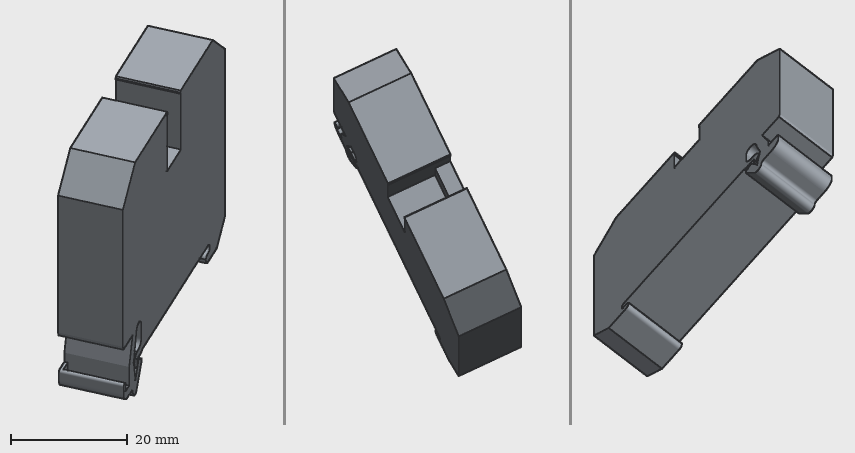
import cadquery as cq

thickness = 11.9
length = 50.0
height = 49.35
half_length = length / 2
half_thickness = thickness / 2

top_chamfer = 6.0
heel_chamfer = 4.0
heel_z = 3.75
rail_z = 7.25
shoulder_z = 13.45
shoulder_bevel_width = 0.25
shoulder_bevel_height = 0.8

notch_half_width = 3.4
notch_depth = 6.6
lip_half_gap = 3.15
rim_half_gap = 3.3
lip_top_drop = 0.35
lip_bottom_drop = 0.6
lip_root_drop = 0.8

ledge_width = 2.9
well_depth = 6.0

foot_outer_y = -24.65
foot_step_y = -21.9
foot_step_z = 5.9
foot_bottom_z = 1.9
lip_radius = 0.5
foot_web = 0.65
foot_groove_depth = 2.0
foot_corner_radius = 2.0
tip_y = -19.05
tip_radius = 1.0
tip_neck_radius = 0.7
leg_root_y = -20.25
leg_bend_z = 7.85
leg_inner_bend = (-19.7, 7.25)
leg_inner_top = (-18.35, 13.15)
arm_tip_start = (-18.2, 0.5)
arm_end_y = -15.85
arm_end_bottom_z = 4.85
arm_end_top_z = 5.55
arm_inner_corner = (-17.3, 6.3)
arm_valley = (-18.85, 2.95)

hook_inner_y = -18.05
hook_bottom_z = 5.2
hook_root_z = 6.85
hook_top_z = 8.5
hook_nose = (-19.3, 7.05)
hook_tip_y = -18.45
hook_root_y = -15.95
rail_end_y = -15.35
slot_y = -16.0
slot_radius = 1.2
slot_arc_z = 12.85
slot_corner_radius = 1.5

undercut_y = 17.5
undercut_upper_z = 6.6
undercut_lower_z = 6.2
undercut_mouth_y = 16.5
undercut_floor = (17.15, 5.75)
nose_top = (16.25, 5.6)
nose_front_top = (15.6, 5.0)
nose_front_bottom = (15.7, 4.4)
nose_bottom_y = 16.5

undercut_upper_mid = (17.2, 7.05)
undercut_lower_mid = (17.4, 5.9)
nose_upper_mid = (15.8, 5.4)
nose_lower_mid = (15.95, 3.95)
foot_corner_mid = foot_corner_radius * (1 - 0.5 ** 0.5)
slot_corner_mid = slot_corner_radius * (1 - 0.5 ** 0.5)
lip_y = foot_outer_y + lip_radius
lip_mid = lip_radius * 0.5 ** 0.5
neck_mid = tip_neck_radius * (1 - 0.5 ** 0.5)
tip_side_y = tip_y - tip_radius


def draw_top(outline):
    """Chamfered top edge and lipped notch, from the +Y side to the -Y side."""
    notch_side = [
        (rim_half_gap, height),
        (lip_half_gap, height - lip_top_drop),
        (lip_half_gap, height - lip_bottom_drop),
        (notch_half_width, height - lip_root_drop),
        (notch_half_width, height - notch_depth),
    ]
    half_top = [
        (half_length, height - top_chamfer),
        (half_length - top_chamfer, height),
    ] + notch_side
    for y, z in half_top:
        outline = outline.lineTo(y, z)
    for y, z in reversed(half_top):
        outline = outline.lineTo(-y, z)
    return outline


def draw_snap_foot(outline):
    """Shoulder, springy leg, rounded tip and catch arm of the foot."""
    return (
        outline
        .lineTo(-half_length, shoulder_z + shoulder_bevel_height)
        .lineTo(-half_length + shoulder_bevel_width, shoulder_z)
        .lineTo(leg_root_y, shoulder_z)
        .lineTo(foot_step_y, leg_bend_z)
        .lineTo(foot_step_y, foot_step_z)
        .lineTo(lip_y, foot_step_z)
        .threePointArc(
            (lip_y - lip_mid, foot_step_z - lip_radius + lip_mid),
            (foot_outer_y, foot_step_z - lip_radius),
        )
        .lineTo(foot_outer_y, foot_bottom_z + foot_corner_radius)
        .threePointArc(
            (foot_outer_y + foot_corner_mid, foot_bottom_z + foot_corner_mid),
            (foot_outer_y + foot_corner_radius, foot_bottom_z),
        )
        .lineTo(tip_side_y - tip_neck_radius, foot_bottom_z)
        .threePointArc(
            (tip_side_y - neck_mid, foot_bottom_z - neck_mid),
            (tip_side_y, foot_bottom_z - tip_neck_radius),
        )
        .lineTo(tip_side_y, tip_radius)
        .threePointArc((tip_y, 0), arm_tip_start)
        .lineTo(arm_end_y, arm_end_bottom_z)
        .lineTo(arm_end_y, arm_end_top_z)
        .lineTo(*arm_inner_corner)
        .lineTo(*arm_valley)
        .lineTo(*leg_inner_bend)
    )


def draw_slot_and_hook(outline):
    """Relief slot behind the leg, then the hook down to the rail face."""
    return (
        outline
        .lineTo(*leg_inner_top)
        .threePointArc((slot_y - slot_radius, slot_arc_z + slot_radius), (slot_y, slot_arc_z))
        .lineTo(slot_y, hook_top_z + slot_corner_radius)
        .threePointArc(
            (slot_y - slot_corner_mid, hook_top_z + slot_corner_mid),
            (slot_y - slot_corner_radius, hook_top_z),
        )
        .lineTo(hook_inner_y, hook_top_z)
        .threePointArc(hook_nose, (hook_tip_y, hook_bottom_z))
        .lineTo(hook_inner_y, hook_bottom_z)
        .lineTo(hook_inner_y, hook_root_z)
        .lineTo(hook_root_y, hook_root_z)
        .lineTo(rail_end_y, rail_z)
    )


def draw_fixed_foot(outline):
    """Rounded undercut and nose that grip the other rail edge."""
    return (
        outline
        .lineTo(undercut_mouth_y, rail_z)
        .threePointArc(undercut_upper_mid, (undercut_y, undercut_upper_z))
        .lineTo(undercut_y, undercut_lower_z)
        .threePointArc(undercut_lower_mid, undercut_floor)
        .lineTo(*nose_top)
        .threePointArc(nose_upper_mid, nose_front_top)
        .lineTo(*nose_front_bottom)
        .threePointArc(nose_lower_mid, (nose_bottom_y, heel_z))
        .lineTo(half_length - heel_chamfer, heel_z)
    )


def make_body():
    outline = cq.Workplane("YZ").moveTo(half_length, heel_z + heel_chamfer)
    outline = draw_top(outline)
    outline = draw_snap_foot(outline)
    outline = draw_slot_and_hook(outline)
    outline = draw_fixed_foot(outline)
    return outline.close().extrude(half_thickness, both=True)


def make_well():
    """Cutter that deepens the notch from the ledge out through the +X face."""
    return cq.Workplane("XY").box(
        thickness - ledge_width, 2 * notch_half_width, well_depth, centered=(False, True, False)
    ).translate((ledge_width - half_thickness, 0, height - notch_depth - well_depth))


def make_foot_groove():
    """Cutter between the leg and the rounded lip of the foot, open at the +X face."""
    inner_y = lip_y + lip_radius
    floor_z = foot_step_z - foot_groove_depth
    return (
        cq.Workplane("YZ", origin=(foot_web - half_thickness, 0, 0))
        .moveTo(foot_step_y, foot_step_z)
        .lineTo(lip_y, foot_step_z)
        .threePointArc(
            (lip_y + lip_mid, foot_step_z - lip_radius + lip_mid),
            (inner_y, foot_step_z - lip_radius),
        )
        .lineTo(inner_y, floor_z)
        .lineTo(foot_step_y, floor_z)
        .close()
        .extrude(thickness - foot_web)
    )


result = make_body().cut(make_well()).cut(make_foot_groove())